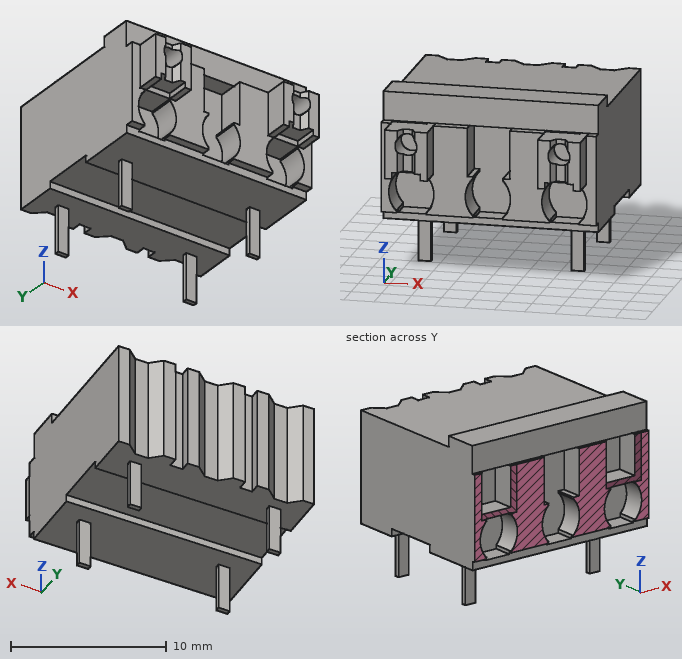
import cadquery as cq


pitch = 5.08
terminal_xs = [-pitch, 0, pitch]
fitted_xs = [-pitch, pitch]

width = 14.26
rear_y = 11.66
cap_top = 8.5
cap_depth = 2.47
body_top = 7.75
apron_depth = 0.64
apron_front = -apron_depth
apron_top = 6.57
apron_bottom = 0.6
sill_front = -0.04

channel_height = 0.53
channel_front = 4.46
channel_rear = 8.44

groove_depth = 0.7
vee_width = 2.5
vee_floor_width = 0.94
rear_slot_width = 0.88

pocket_width = 2.82
pocket_depth = 1.97
pocket_back = apron_front + pocket_depth
pocket_bottom = 3.34
entry_offset = -0.05
entry_z = 1.97
entry_half_width = 1.5
entry_half_height = 1.24
neck_half_width = 1.0
neck_bottom = 0.47

button_reach = 1.7
button_front = apron_front - button_reach
button_slot_front = -0.23
button_stem_width = 0.53
vgroove_depth = 0.53
vgroove_width = 1.17
vgroove_floor_width = 0.6
foot_notch_width = 1.88
foot_notch_height = 0.41
foot_notch_top = pocket_bottom + foot_notch_height
tool_hole_diameter = 1.44
tool_hole_z = 5.56

pin_length = 3.51
pin_width = 0.83
pin_thickness = 0.34
pin_ys = [2.98, 9.98]


def box(x_range, y_range, z_range):
    """Box between two corners."""
    (x0, x1), (y0, y1), (z0, z1) = x_range, y_range, z_range
    return cq.Workplane("XY").box(x1 - x0, y1 - y0, z1 - z0, centered=False).translate((x0, y0, z0))


def centred_range(centre, size):
    return (centre - size / 2, centre + size / 2)


def extrude_along_y(sketch, y_range):
    """Extrude an outline drawn in X and Z on the XZ plane (normal -Y) between two Y positions."""
    return sketch.extrude(y_range[1] - y_range[0]).translate((0, y_range[1], 0))


def housing_body():
    """Side profile with the raised cap, the front apron and the underside channel."""
    profile = [
        (apron_front, apron_bottom),
        (apron_front, apron_top),
        (0, apron_top),
        (0, cap_top),
        (cap_depth, cap_top),
        (cap_depth, body_top),
        (rear_y, body_top),
        (rear_y, 0),
        (channel_rear, 0),
        (channel_rear, channel_height),
        (channel_front, channel_height),
        (channel_front, 0),
        (sill_front, 0),
        (sill_front, apron_bottom),
    ]
    return cq.Workplane("YZ").polyline(profile).close().extrude(width / 2, both=True)


def rear_vee(x):
    """Tapered groove down the rear face behind a terminal."""
    floor_y = rear_y - groove_depth
    outline = [
        (x - vee_width / 2, rear_y),
        (x - vee_floor_width / 2, floor_y),
        (x + vee_floor_width / 2, floor_y),
        (x + vee_width / 2, rear_y),
    ]
    return cq.Workplane("XY").polyline(outline).close().extrude(body_top)


def rear_slot(x):
    """Square groove down the rear face between two terminals."""
    return box(centred_range(x, rear_slot_width), (rear_y - groove_depth, rear_y), (0, body_top))


def button_pocket(x):
    return box(centred_range(x, pocket_width), (apron_front, pocket_back), (pocket_bottom, apron_top))


def wire_entry(x):
    """Straight-necked opening with bulging sides below a pocket."""
    centre = x + entry_offset
    left = centre - neck_half_width
    right = centre + neck_half_width
    low = entry_z - entry_half_height
    high = entry_z + entry_half_height
    outline = (
        cq.Workplane("XZ")
        .moveTo(left, neck_bottom)
        .lineTo(right, neck_bottom)
        .lineTo(right, low)
        .threePointArc((centre + entry_half_width, entry_z), (right, high))
        .lineTo(right, pocket_bottom)
        .lineTo(left, pocket_bottom)
        .lineTo(left, high)
        .threePointArc((centre - entry_half_width, entry_z), (left, low))
        .close()
    )
    return extrude_along_y(outline, (apron_front, pocket_back))


def make_housing():
    housing = housing_body()
    for x in terminal_xs:
        housing = housing.cut(rear_vee(x)).cut(button_pocket(x)).cut(wire_entry(x))
    for x in [-pitch / 2, pitch / 2]:
        housing = housing.cut(rear_slot(x))
    return housing


def make_button(x):
    """Push button that fills its pocket and stands out in front of the apron."""
    left, right = centred_range(x, pocket_width)
    button = box((left, right), (button_front, pocket_back), (pocket_bottom, apron_top))

    button = button.cut(
        box((left, right - button_stem_width), (button_slot_front, pocket_back), (foot_notch_top, apron_top))
    )

    groove_floor = button_front + vgroove_depth
    groove = [
        (x - vgroove_width / 2, button_front),
        (x - vgroove_floor_width / 2, groove_floor),
        (x + vgroove_floor_width / 2, groove_floor),
        (x + vgroove_width / 2, button_front),
    ]
    button = button.cut(cq.Workplane("XY").polyline(groove).close().extrude(apron_top))

    button = button.cut(
        box(
            centred_range(x, foot_notch_width),
            (button_front, apron_front),
            (pocket_bottom, foot_notch_top),
        )
    )

    hole = cq.Workplane("XZ").center(x, tool_hole_z).circle(tool_hole_diameter / 2)
    return button.cut(extrude_along_y(hole, (button_front, apron_front)))


def make_pin(x, y):
    """Flat solder pin under the housing."""
    return box(centred_range(x, pin_width), centred_range(y, pin_thickness), (-pin_length, 0))


housing = make_housing()
buttons = [make_button(x) for x in fitted_xs]
pins = [make_pin(x, y) for x in fitted_xs for y in pin_ys]

result = cq.Compound.makeCompound(
    [
        housing.val(),
        *[button.val() for button in buttons],
        *[pin.val() for pin in pins],
    ]
)